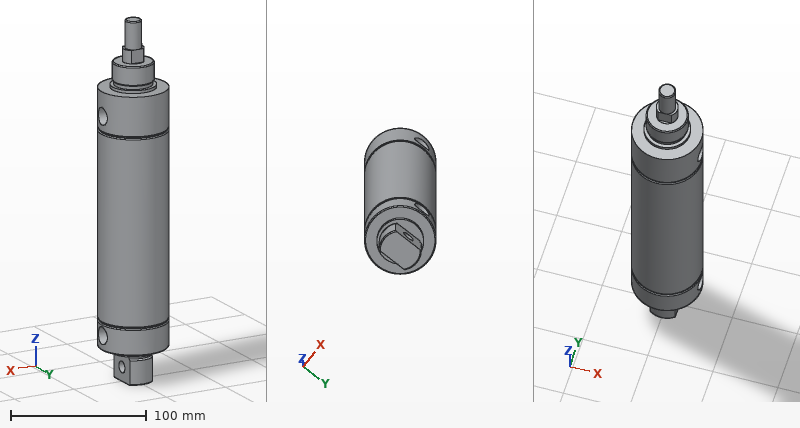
import cadquery as cq

TOTAL_HEIGHT = 278.0
WRENCH_TOP = 256.2
NOSE_TOP = 246.0
NOSE_RELIEF_TOP = 231.8
UPPER_BOSS_TOP = 228.1
HEAD_TOP = 226.0
UPPER_GROOVE_Z = 194.2
LOWER_GROOVE_Z = 47.2
CAP_BOTTOM = 26.0
LOWER_BOSS_BOTTOM = 22.5
TANG_RELIEF_BOTTOM = 20.3

BARREL_DIAMETER = 52.8
BOSS_DIAMETER = 34.5
NOSE_DIAMETER = 31.0
RELIEF_DIAMETER = 29.0
ROD_DIAMETER = 16.0
THREAD_DIAMETER = 12.5

EDGE_CHAMFER = 0.8
GROOVE_WIDTH = 2.5
GROOVE_DEPTH = 0.8
TANG_THICKNESS = 19.2
PIN_HOLE_DIAMETER = 9.0
PIN_HOLE_Z = 11.0
PORT_DIAMETER = 13.3
PORT_DEPTH = 11.0
PORT_HEIGHTS = (37.8, 207.0)


def groove_points(center_z):
    """Trapezoidal groove around the barrel, listed from bottom to top."""
    barrel_radius = BARREL_DIAMETER / 2
    floor_radius = barrel_radius - GROOVE_DEPTH
    half_width = GROOVE_WIDTH / 2
    half_floor = half_width - GROOVE_DEPTH
    return [
        (barrel_radius, center_z - half_width),
        (floor_radius, center_z - half_floor),
        (floor_radius, center_z + half_floor),
        (barrel_radius, center_z + half_width),
    ]


def turned_housing():
    """Revolved profile of the barrel, its bosses, the nose and the tang blank."""
    barrel_radius = BARREL_DIAMETER / 2
    boss_radius = BOSS_DIAMETER / 2
    nose_radius = NOSE_DIAMETER / 2
    relief_radius = RELIEF_DIAMETER / 2
    relief_bevel = nose_radius - relief_radius
    profile = [
        (0, 0),
        (nose_radius - EDGE_CHAMFER, 0),
        (nose_radius, EDGE_CHAMFER),
        (nose_radius, TANG_RELIEF_BOTTOM - relief_bevel),
        (relief_radius, TANG_RELIEF_BOTTOM),
        (relief_radius, LOWER_BOSS_BOTTOM),
        (boss_radius, LOWER_BOSS_BOTTOM),
        (boss_radius, CAP_BOTTOM),
        (barrel_radius - EDGE_CHAMFER, CAP_BOTTOM),
        (barrel_radius, CAP_BOTTOM + EDGE_CHAMFER),
        *groove_points(LOWER_GROOVE_Z),
        *groove_points(UPPER_GROOVE_Z),
        (barrel_radius, HEAD_TOP),
        (boss_radius, HEAD_TOP),
        (boss_radius, UPPER_BOSS_TOP),
        (relief_radius, UPPER_BOSS_TOP),
        (relief_radius, NOSE_RELIEF_TOP - relief_bevel),
        (nose_radius, NOSE_RELIEF_TOP),
        (nose_radius, NOSE_TOP - EDGE_CHAMFER),
        (nose_radius - EDGE_CHAMFER, NOSE_TOP),
        (0, NOSE_TOP),
    ]
    return cq.Workplane("XZ").polyline(profile).close().revolve(360, (0, 0), (0, 1))


def side_slabs(axis_angle, gap, bottom, top):
    """Two slabs either side of the axis, facing each other across the gap."""
    slab_size = BARREL_DIAMETER
    slabs = (
        cq.Workplane("XY", origin=(0, 0, bottom))
        .pushPoints([(-(gap + slab_size) / 2, 0), ((gap + slab_size) / 2, 0)])
        .rect(slab_size, slab_size)
        .extrude(top - bottom)
    )
    return slabs.rotate((0, 0, 0), (0, 0, 1), axis_angle)


def rod_cylinder(top):
    """Full-diameter rod from the bottom of its bore up to the given height."""
    return (
        cq.Workplane("XY", origin=(0, 0, HEAD_TOP))
        .circle(ROD_DIAMETER / 2)
        .extrude(top - HEAD_TOP)
    )


def make_housing():
    housing = turned_housing()

    housing = housing.cut(side_slabs(0, TANG_THICKNESS, 0, LOWER_BOSS_BOTTOM))
    pin_hole = (
        cq.Workplane("YZ")
        .center(0, PIN_HOLE_Z)
        .circle(PIN_HOLE_DIAMETER / 2)
        .extrude(BARREL_DIAMETER / 2, both=True)
    )
    housing = housing.cut(pin_hole)

    housing = housing.cut(rod_cylinder(NOSE_TOP))

    for port_z in PORT_HEIGHTS:
        port = (
            cq.Workplane("YZ", origin=(BARREL_DIAMETER / 2 - PORT_DEPTH, 0, port_z))
            .circle(PORT_DIAMETER / 2)
            .extrude(PORT_DEPTH)
        )
        housing = housing.cut(port)
    return housing


def make_rod():
    """Rod in its bore, with two wrench flats above the nose and a stud on top."""
    flats = side_slabs(90, THREAD_DIAMETER, NOSE_TOP, WRENCH_TOP)
    shank = rod_cylinder(WRENCH_TOP).cut(flats)
    stud = (
        cq.Workplane("XY", origin=(0, 0, WRENCH_TOP))
        .circle(THREAD_DIAMETER / 2)
        .extrude(TOTAL_HEIGHT - WRENCH_TOP)
        .faces(">Z")
        .chamfer(EDGE_CHAMFER)
    )
    return shank.union(stud)


housing = make_housing()
rod = make_rod()
result = cq.Compound.makeCompound([housing.val(), rod.val()])